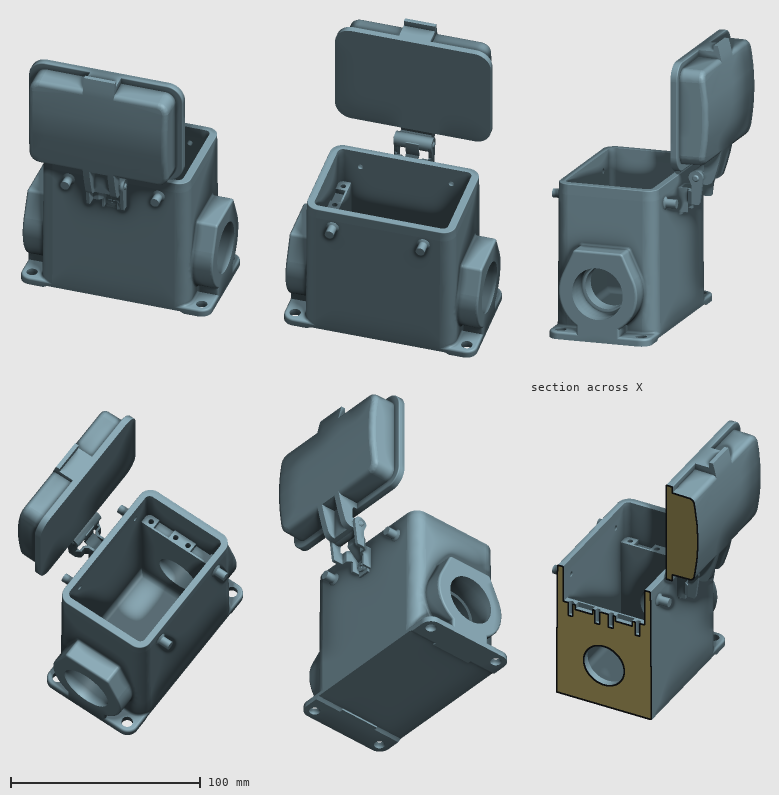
import cadquery as cq
import math

BASE_Z = 1.1
SEAM_Z = 76.1
TOP_Z = 81.8
BOX_X = 83.0
BOX_Y = 57.0
BOX_CORNER_R = 7.5
BODY_DRAFT = 0.4
BAND_DRAFT = 2.0
RIM_OUTER_R = 0.4

OPENING_X = 73.4
OPENING_Y = 48.6
OPENING_CORNER_R = 3.0
CAVITY_DRAFT = 0.7
WELL_X = 60.5
WELL_FLOOR_Z = 5.0
WELL_FLOOR_R = 3.2
LEDGE_Z = 60.0
LEDGE_RECESS_DEPTH = 3.0
LEDGE_RECESS_IN = 6.9
LEDGE_RECESS_OUT = 16.9
LEDGE_RECESS_X = 31.0
LEDGE_HOLE_X = 33.2
LEDGE_HOLE_YS = (-20.0, -4.0, 4.0, 20.0)
LEDGE_HOLE_D = 2.95
LEDGE_HOLE_DEPTH = 8.0

OVERALL_X = 106.0
END_X = OVERALL_X / 2

FOOT_INNER_X = 37.0
FOOT_RAMP = 2.0
FOOT_TOP_Z = 4.0
FOOT_CORNER_R = 6.0
FOOT_HOLE_D = 6.0
FOOT_HOLE_X = 47.2
FOOT_HOLE_Y = 22.5

ENTRY_Z = 26.6
ENTRY_R = 22.0
ENTRY_TOP_Z = 49.5
ENTRY_FLANK_ANGLE = 25.0
ENTRY_NECK = 12.0
ENTRY_ROOT_X = 36.9
ENTRY_TOP_R = 2.0
END_EDGE_R = 1.2
ROOT_R = 1.2
BORE_D = 28.3
BORE_END_X = 38.0
THROUGH_D = 24.0

PEG_D = 4.8
PEG_X = 25.0
PEG_Z = 71.8
PEG_TIP_Y = 34.5
PEG_ROOT_Y = 26.0
PEG_COLLAR_D = 7.0
PEG_COLLAR_Y = 29.0
PEG_COLLAR_CYLINDER_Y = 28.2
PEG_HOLE_D = 3.0
PEG_HOLE_END_Y = 30.0

LID_Z = 122.6
LID_X = 85.6
LID_RIM_H = 59.6
LID_CORNER_R = 9.0
LID_BACK_Y = -37.2
LID_RIM_Y = -41.0
CROWN_Y = -56.29
CROWN_R = 120.0
SHELL_X = 77.8
SHELL_H = 52.4
SHELL_DRAFT = 1.3
SHELL_CORNER_R = 6.0
SHELL_EDGE_R = 2.8
RIM_EDGE_R = 0.6

SPINE_W = 17.2
TAB_TOP_Z = 155.58
TAB_Y = -49.4
TONGUE_BOTTOM_Z = 79.1
TONGUE_BACK_Y = -43.9
TONGUE_R = 4.5
TONGUE_NOTCH_R = 1.4
WEB_OVERLAP = 0.5
WEB_RISE = 3.0
RECESS_W = 10.1
RECESS_TOP_Z = 97.3
RECESS_FLOOR_Y = -44.9

HINGE_Y = -39.9
HINGE_Z = 82.6
KNUCKLE_D = 8.0
PIN_D = 3.69
PIN_HEAD = 0.8
PIN_HEAD_CHAMFER = 0.676

ARM_IN_X = SPINE_W / 2
ARM_OUT_X = 10.4
ARM_BOTTOM_Z = 68.2
ARM_BACK_Y = -37.6
ARM_FOOT_Y = -42.0
ARM_CORNER_R = 1.0

SHEET = 1.2
PLATE_Y = -28.05
HAT_OUT_X = 4.8
HAT_TOP_Z = 75.2
HAT_LEG_BOTTOM_Z = 62.1
HAT_LEG_END_Y = -33.2
FLANGE_Y = -35.0
FLARE_X = 6.0
FLARE_INNER_X = 5.6
FLANGE_LAP = 1.0
PLATE_BOTTOM_Z = 60.1
SCREW_HEAD_D = 7.0
SCREW_HEAD_Z = 65.6
SCREW_HEAD_H = 1.2
SLOT_L = 4.0
SLOT_W = 0.8
SLOT_DEPTH = 0.6
LEAF_T = 0.8
LEAF_PATH = [(-29.3, 70.0), (-32.5, 72.7), (-36.6, 76.3), (-36.0, 84.2)]


def box_between(x0, x1, y0, y1, z0, z1):
    return cq.Workplane("XY").box(x1 - x0, y1 - y0, z1 - z0, centered=False).translate((x0, y0, z0))


def rounded_plan(size_x, size_y, corner_r, z):
    plane = cq.Workplane("XY").workplane(offset=z)
    return plane.sketch().rect(size_x, size_y).vertices().fillet(corner_r).finalize()


def x_cylinder(d, x0, x1, y, z):
    return cq.Workplane("YZ").workplane(offset=x0).center(y, z).circle(d / 2).extrude(x1 - x0)


def both_ends(part):
    return part.union(part.mirror("YZ"))


def make_box():
    body_h = SEAM_Z - BASE_Z
    shrink = body_h * math.tan(math.radians(BODY_DRAFT))
    body = rounded_plan(BOX_X, BOX_Y, BOX_CORNER_R, BASE_Z).extrude(body_h, taper=BODY_DRAFT)
    band = rounded_plan(BOX_X - 2 * shrink, BOX_Y - 2 * shrink, BOX_CORNER_R - shrink, SEAM_Z)
    band = band.extrude(TOP_Z - SEAM_Z, taper=BAND_DRAFT).faces(">Z").edges().fillet(RIM_OUTER_R)
    return body.union(band)


def make_foot():
    foot = (
        cq.Workplane("XZ").workplane(offset=-BOX_Y / 2)
        .moveTo(BOX_X / 2 - BOX_CORNER_R, BASE_Z).lineTo(FOOT_INNER_X, BASE_Z)
        .lineTo(FOOT_INNER_X + FOOT_RAMP, 0).lineTo(END_X, 0).lineTo(END_X, FOOT_TOP_Z)
        .lineTo(BOX_X / 2 - BOX_CORNER_R, FOOT_TOP_Z).close().extrude(BOX_Y)
    )
    return foot.edges("|Z and >X").fillet(FOOT_CORNER_R)


def make_entry():
    a = math.radians(ENTRY_FLANK_ANGLE)
    flank_y = ENTRY_R * math.cos(a)
    flank_z = ENTRY_Z + ENTRY_R * math.sin(a)
    top_y = flank_y - (ENTRY_TOP_Z - flank_z) * math.tan(a)
    neck_z = ENTRY_Z - math.sqrt(ENTRY_R ** 2 - ENTRY_NECK ** 2)
    entry = (
        cq.Workplane("YZ").workplane(offset=ENTRY_ROOT_X)
        .moveTo(-ENTRY_NECK, 0).lineTo(ENTRY_NECK, 0).lineTo(ENTRY_NECK, neck_z)
        .threePointArc((ENTRY_R, ENTRY_Z), (flank_y, flank_z))
        .lineTo(top_y, ENTRY_TOP_Z).lineTo(-top_y, ENTRY_TOP_Z).lineTo(-flank_y, flank_z)
        .threePointArc((-ENTRY_R, ENTRY_Z), (-ENTRY_NECK, neck_z))
        .close().extrude(END_X - ENTRY_ROOT_X)
    )
    return entry.edges("|X and >Z").fillet(ENTRY_TOP_R)


def make_end():
    end = make_foot().union(make_entry())
    return end.faces(">X").edges("not <Z").fillet(END_EDGE_R)


def make_cavity():
    mouth = rounded_plan(OPENING_X, OPENING_Y, OPENING_CORNER_R, SEAM_Z).extrude(TOP_Z - SEAM_Z)
    shelf = rounded_plan(OPENING_X, OPENING_Y, OPENING_CORNER_R, SEAM_Z)
    shelf = shelf.extrude(LEDGE_Z - SEAM_Z, taper=CAVITY_DRAFT)
    well = cq.Workplane("XY").workplane(offset=SEAM_Z).rect(WELL_X, OPENING_Y)
    well = well.extrude(WELL_FLOOR_Z - SEAM_Z, taper=CAVITY_DRAFT).faces("<Z").edges().fillet(WELL_FLOOR_R)
    cavity = mouth.union(shelf).union(well)
    for side in (-1, 1):
        y_ends = sorted((side * LEDGE_RECESS_IN, side * LEDGE_RECESS_OUT))
        recess = box_between(LEDGE_RECESS_X, OPENING_X / 2, *y_ends, LEDGE_Z - LEDGE_RECESS_DEPTH, LEDGE_Z)
        cavity = cavity.union(both_ends(recess))
    holes = cq.Workplane("XY").workplane(offset=LEDGE_Z)
    holes = holes.pushPoints([(side * LEDGE_HOLE_X, y) for side in (-1, 1) for y in LEDGE_HOLE_YS])
    return cavity.union(holes.circle(LEDGE_HOLE_D / 2).extrude(-LEDGE_HOLE_DEPTH))


def make_peg(x, side):
    peg = (
        cq.Workplane("XY")
        .moveTo(0, PEG_ROOT_Y).lineTo(PEG_COLLAR_D / 2, PEG_ROOT_Y)
        .lineTo(PEG_COLLAR_D / 2, PEG_COLLAR_CYLINDER_Y)
        .lineTo(PEG_D / 2, PEG_COLLAR_Y).lineTo(PEG_D / 2, PEG_TIP_Y).lineTo(0, PEG_TIP_Y)
        .close().revolve(360, (0, 0, 0), (0, 1, 0))
    )
    if side < 0:
        peg = peg.mirror("XZ")
    return peg.translate((x, 0, PEG_Z))


def root_edges(side):
    """Edges where the entry and the feet run into the end wall of the box."""
    wall_x = side * (BOX_X / 2 - 0.2)
    flat_y = BOX_Y / 2 - BOX_CORNER_R
    box = cq.selectors.BoxSelector
    flanks = box((wall_x - 0.6, -ENTRY_R, 24), (wall_x + 0.6, ENTRY_R, ENTRY_TOP_Z + 1))
    neck = box((wall_x - 0.6, -flat_y + 0.1, FOOT_TOP_Z - 0.1), (wall_x + 0.6, flat_y - 0.1, ENTRY_TOP_Z))
    corner_x = wall_x - side * 1.0
    corners = box((corner_x - 1.5, -BOX_Y / 2, FOOT_TOP_Z - 0.1), (corner_x + 1.5, BOX_Y / 2, FOOT_TOP_Z + 0.1))
    return flanks + neck + corners


def make_housing():
    housing = make_box().union(both_ends(make_end()))
    for side in (-1, 1):
        housing = housing.edges(root_edges(side)).fillet(ROOT_R)
    for x in (-PEG_X, PEG_X):
        for side in (-1, 1):
            housing = housing.union(make_peg(x, side))
    housing = housing.cut(make_cavity())
    for x in (-PEG_X, PEG_X):
        peg_holes = cq.Workplane("XZ").center(x, PEG_Z).circle(PEG_HOLE_D / 2).extrude(PEG_HOLE_END_Y, both=True)
        housing = housing.cut(peg_holes)
    bore = x_cylinder(BORE_D, BORE_END_X, END_X, 0, ENTRY_Z)
    housing = housing.cut(both_ends(bore)).cut(x_cylinder(THROUGH_D, -END_X, END_X, 0, ENTRY_Z))
    foot_holes = cq.Workplane("XY").rect(2 * FOOT_HOLE_X, 2 * FOOT_HOLE_Y, forConstruction=True)
    foot_holes = foot_holes.vertices().circle(FOOT_HOLE_D / 2).extrude(FOOT_TOP_Z)
    return housing.cut(foot_holes)


def crown_y(z):
    return CROWN_Y + CROWN_R - math.sqrt(CROWN_R ** 2 - (z - LID_Z) ** 2)


def make_lid_rim():
    rim = cq.Workplane("XZ").workplane(offset=-LID_BACK_Y).center(0, LID_Z).rect(LID_X, LID_RIM_H)
    rim = rim.extrude(LID_BACK_Y - LID_RIM_Y).edges("|Y").fillet(LID_CORNER_R)
    return rim.faces("<Y").edges().fillet(RIM_EDGE_R)


def make_lid_shell():
    shell = cq.Workplane("XZ").workplane(offset=-LID_BACK_Y).center(0, LID_Z)
    shell = shell.sketch().rect(SHELL_X, SHELL_H).vertices().fillet(SHELL_CORNER_R).finalize()
    shell = shell.extrude(LID_BACK_Y - CROWN_Y, taper=SHELL_DRAFT)
    crown = x_cylinder(2 * CROWN_R, -LID_X, LID_X, CROWN_Y + CROWN_R, LID_Z)
    return shell.intersect(crown).faces("<Y").edges().fillet(SHELL_EDGE_R)


def make_spine():
    """Band over the middle of the cover: tab on top, tongue and hinge knuckle below."""
    rim_top_z = LID_Z + LID_RIM_H / 2
    rim_bottom_z = LID_Z - LID_RIM_H / 2
    spine = (
        cq.Workplane("YZ").workplane(offset=-SPINE_W / 2)
        .moveTo(LID_BACK_Y, rim_top_z).lineTo(TAB_Y, rim_top_z).lineTo(TAB_Y, TAB_TOP_Z)
        .lineTo(crown_y(TAB_TOP_Z), TAB_TOP_Z)
        .threePointArc((CROWN_Y, LID_Z), (crown_y(TONGUE_BOTTOM_Z), TONGUE_BOTTOM_Z))
        .lineTo(TONGUE_BACK_Y, TONGUE_BOTTOM_Z).lineTo(TONGUE_BACK_Y, rim_bottom_z)
        .lineTo(LID_BACK_Y, rim_bottom_z).close().extrude(SPINE_W)
    )
    tongue_tip = cq.selectors.NearestToPointSelector((0, crown_y(TONGUE_BOTTOM_Z), TONGUE_BOTTOM_Z))
    notch = cq.selectors.NearestToPointSelector((0, TONGUE_BACK_Y, rim_bottom_z))
    spine = spine.edges(tongue_tip).fillet(TONGUE_R)
    spine = spine.edges(notch).fillet(TONGUE_NOTCH_R)
    half_w = SPINE_W / 2
    knuckle = x_cylinder(KNUCKLE_D, -half_w, half_w, HINGE_Y, HINGE_Z)
    web = box_between(-half_w, half_w, TONGUE_BACK_Y - WEB_OVERLAP, HINGE_Y, TONGUE_BOTTOM_Z, HINGE_Z + WEB_RISE)
    return spine.union(knuckle).union(web)


def make_recess():
    return box_between(-RECESS_W / 2, RECESS_W / 2, CROWN_Y, RECESS_FLOOR_Y, TONGUE_BOTTOM_Z, RECESS_TOP_Z)


def make_arm():
    r = KNUCKLE_D / 2
    plate = (
        cq.Workplane("YZ").workplane(offset=ARM_IN_X)
        .moveTo(ARM_BACK_Y, ARM_BOTTOM_Z).lineTo(ARM_FOOT_Y, ARM_BOTTOM_Z)
        .lineTo(HINGE_Y - r, HINGE_Z).threePointArc((HINGE_Y, HINGE_Z + r), (HINGE_Y + r, HINGE_Z))
        .lineTo(ARM_BACK_Y, HINGE_Z - r).close().extrude(ARM_OUT_X - ARM_IN_X)
    )
    mid_x = (ARM_IN_X + ARM_OUT_X) / 2
    foot_corner = cq.selectors.NearestToPointSelector((mid_x, ARM_FOOT_Y, ARM_BOTTOM_Z))
    plate = plate.edges(foot_corner).fillet(ARM_CORNER_R)
    head = x_cylinder(PIN_D, ARM_OUT_X, ARM_OUT_X + PIN_HEAD, HINGE_Y, HINGE_Z)
    head = head.faces(">X").chamfer(PIN_HEAD_CHAMFER)
    return plate.union(head)


def make_screw_head():
    seat_y = PLATE_Y - SHEET
    screw = cq.Workplane("XZ").workplane(offset=-seat_y).center(0, SCREW_HEAD_Z)
    screw = screw.circle(SCREW_HEAD_D / 2).extrude(SCREW_HEAD_H)
    slot = cq.Workplane("XZ").workplane(offset=-seat_y + SCREW_HEAD_H).center(0, SCREW_HEAD_Z)
    for angle in (0, 90):
        blade = slot.transformed(rotate=(0, 0, angle)).rect(SLOT_L, SLOT_W).extrude(-SLOT_DEPTH)
        screw = screw.cut(blade)
    return screw


def make_bracket():
    inner_x = HAT_OUT_X - SHEET
    back = box_between(-HAT_OUT_X, HAT_OUT_X, PLATE_Y - SHEET, PLATE_Y, HAT_LEG_BOTTOM_Z, HAT_TOP_Z)
    foot = box_between(-inner_x, inner_x, PLATE_Y - SHEET, PLATE_Y, PLATE_BOTTOM_Z, HAT_LEG_BOTTOM_Z)
    leg = box_between(inner_x, HAT_OUT_X, HAT_LEG_END_Y, PLATE_Y, HAT_LEG_BOTTOM_Z, HAT_TOP_Z)
    flange = (
        cq.Workplane("XY").workplane(offset=ARM_BOTTOM_Z)
        .moveTo(HAT_OUT_X, PLATE_Y).lineTo(HAT_OUT_X, HAT_LEG_END_Y)
        .lineTo(FLARE_X, FLANGE_Y).lineTo(ARM_IN_X, FLANGE_Y)
        .lineTo(ARM_OUT_X, ARM_BACK_Y).lineTo(ARM_IN_X, ARM_BACK_Y - FLANGE_LAP)
        .lineTo(ARM_IN_X, FLANGE_Y - SHEET).lineTo(FLARE_INNER_X, FLANGE_Y - SHEET)
        .lineTo(inner_x, HAT_LEG_END_Y - SHEET).lineTo(inner_x, PLATE_Y).close()
        .extrude(HAT_TOP_Z - ARM_BOTTOM_Z)
    )
    leaf = (
        cq.Workplane("YZ").workplane(offset=-inner_x)
        .polyline(LEAF_PATH).offset2D(LEAF_T / 2).extrude(2 * inner_x)
    )
    sides = both_ends(leg.union(flange).union(make_arm()))
    return back.union(foot).union(make_screw_head()).union(sides).union(leaf)


def make_cover():
    cover = make_lid_rim().union(make_lid_shell()).union(make_spine()).cut(make_recess())
    return cover.union(make_bracket())


housing = make_housing()
cover = make_cover()
result = cq.Compound.makeCompound([housing.val(), cover.val()])